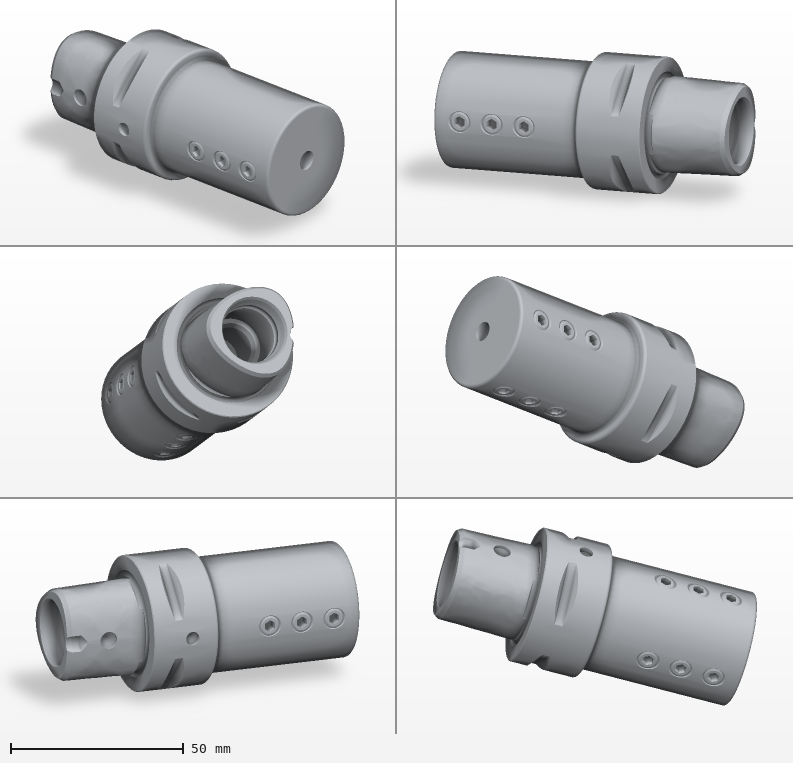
import cadquery as cq
import math


total_length = 89.0
flange_start = 24.0
flange_end = 44.05
flange_radius = 40.0 / 2
flange_front_chamfer = 0.3
flange_rear_fillet = 0.9
barrel_radius = 34.0 / 2
barrel_root_fillet = 0.9
barrel_end_fillet = 0.9

polygon_radius = 28.0 / 2
lobe_height = 0.9
taper_ratio = 1 / 20
taper_end = 22.3
tip_chamfer_length = 1.3
tip_chamfer_depth = 0.8
outline_points = 90

neck_radius = 14.1
neck_shoulder_start = 22.0
neck_start = 22.5
collar_length = 0.4
gutter_radius = 0.8
gutter_center_radius = neck_radius + gutter_radius

bore_mouth = [(0, 10.1), (1.0, 9.5), (3.1, 9.0), (4.2, 8.6), (5.6, 9.2), (6.6, 9.2), (7.4, 8.45)]
bore_floor = 20.0
thread_mouth_radius = 7.1
thread_radius = 6.2
thread_mouth_length = 1.5
thread_end = 33.8
coolant_mouth_radius = 3.5
coolant_radius = 2.9
drill_half_angle = 59

slot_x = 31.95
slot_floor_distance = 17.6
slot_floor_width = 2.3
slot_mouth_width = 5.5
slot_angles = (45, 135, 225, 315)

shank_hole_x = 12.55
shank_hole_radius = 2.6
shank_hole_depth = 1.1
flange_hole_x = 35.9
flange_hole_radius = 2.05
flange_hole_depth = 1.8
notch_radius = 2.6
notch_axis_distance = 13.35
notch_length = 4.1
notch_cone_half_angle = 45

screw_count_per_row = 3
screw_pitch = 10.0
last_screw_x = 81.0
screw_row_angles = (90, 180, 270)
screw_radius = 3.0
screw_chamfer_width = 0.6
screw_chamfer_height = 0.4
screw_length = 6.0
screw_top_distance = 16.8
screw_hex_width = 3.0
screw_hex_depth = 3.0
screw_hole_mouth_radius = 3.5


def turned(points):
    """Solid of revolution about X from a closed (x, radius) outline."""
    return cq.Workplane("XY").polyline(points).close().revolve(360, (0, 0, 0), (1, 0, 0))


def polygon_wire(x, mean_radius):
    """Trochoid outline at x, with one lobe towards +Y."""

    def point(turn):
        angle = 2 * math.pi * turn
        y = mean_radius * math.cos(angle) + lobe_height * math.cos(2 * angle)
        z = mean_radius * math.sin(angle) - lobe_height * math.sin(2 * angle)
        return (x, y, z)

    return cq.Workplane("XY").parametricCurve(point, N=outline_points).val()


def taper_radius(x):
    return polygon_radius - (flange_start - x) * taper_ratio / 2


def make_shank():
    tip = polygon_wire(0, taper_radius(0) - tip_chamfer_depth)
    shoulder = polygon_wire(tip_chamfer_length, taper_radius(tip_chamfer_length))
    base = polygon_wire(taper_end, taper_radius(taper_end))
    root = polygon_wire(flange_start, taper_radius(taper_end))
    tip_solid = cq.Solid.makeLoft([tip, shoulder], True)
    taper_solid = cq.Solid.makeLoft([shoulder, base], True)
    root_solid = cq.Solid.makeLoft([base, root], True)
    shank = cq.Workplane(tip_solid).union(cq.Workplane(taper_solid)).union(cq.Workplane(root_solid))
    overrun = 2
    shoulder_length = overrun * (neck_start - neck_shoulder_start)
    shoulder_rise = overrun * (polygon_radius + lobe_height - neck_radius)
    relief = turned(
        [
            (neck_start, neck_radius),
            (neck_start - shoulder_length, neck_radius + shoulder_rise),
            (flange_start, neck_radius + shoulder_rise),
            (flange_start, neck_radius),
        ]
    )
    return shank.cut(relief)


def make_flange_and_barrel():
    flange = (
        cq.Workplane("YZ", origin=(flange_start, 0, 0))
        .circle(flange_radius)
        .extrude(flange_end - flange_start)
        .faces("<X")
        .chamfer(flange_front_chamfer)
        .faces(">X")
        .edges()
        .fillet(flange_rear_fillet)
    )
    barrel = (
        cq.Workplane("YZ", origin=(flange_end, 0, 0))
        .circle(barrel_radius)
        .extrude(total_length - flange_end)
        .faces(">X")
        .edges()
        .fillet(barrel_end_fillet)
    )
    root_fillet = (
        cq.Workplane("XY")
        .moveTo(flange_end, barrel_radius - barrel_root_fillet)
        .lineTo(flange_end, barrel_radius + barrel_root_fillet)
        .radiusArc((flange_end + barrel_root_fillet, barrel_radius), -barrel_root_fillet)
        .lineTo(flange_end + barrel_root_fillet, barrel_radius - barrel_root_fillet)
        .close()
        .revolve(360, (0, 0, 0), (1, 0, 0))
    )
    collar = (
        cq.Workplane("YZ", origin=(flange_start - collar_length, 0, 0))
        .circle(neck_radius)
        .extrude(collar_length)
    )
    gutter = cq.Workplane(
        cq.Solid.makeTorus(
            gutter_center_radius, gutter_radius, cq.Vector(flange_start, 0, 0), cq.Vector(1, 0, 0)
        )
    )
    return flange.union(barrel).union(root_fillet).union(collar).cut(gutter)


def make_axial_bore():
    cone_length = (thread_radius - coolant_mouth_radius) / math.tan(math.radians(drill_half_angle))
    coolant_start = thread_end + cone_length
    coolant_chamfer = coolant_mouth_radius - coolant_radius
    return turned(
        [(0, 0)]
        + bore_mouth
        + [
            (bore_floor, bore_mouth[-1][1]),
            (bore_floor, thread_mouth_radius),
            (bore_floor + thread_mouth_length, thread_radius),
            (thread_end, thread_radius),
            (coolant_start, coolant_mouth_radius),
            (coolant_start + coolant_chamfer, coolant_radius),
            (total_length, coolant_radius),
            (total_length, 0),
        ]
    )


def make_gripper_slot(angle):
    """Trapezoidal slot, cut straight across the flange at the given angle about X."""
    depth = flange_radius - slot_floor_distance
    widening = (slot_mouth_width - slot_floor_width) / 2
    return (
        cq.Workplane("XZ")
        .polyline(
            [
                (slot_x - slot_floor_width / 2, slot_floor_distance),
                (slot_x - slot_floor_width / 2 - widening, slot_floor_distance + depth),
                (slot_x + slot_floor_width / 2 + widening, slot_floor_distance + depth),
                (slot_x + slot_floor_width / 2, slot_floor_distance),
            ]
        )
        .close()
        .extrude(flange_radius, both=True)
        .rotate((0, 0, 0), (1, 0, 0), angle)
    )


def make_drilling(start, direction, radius, straight_length, half_angle):
    """Drilled hole: a cylinder from start, ending in a cone."""
    cone_length = radius / math.tan(math.radians(half_angle))
    cylinder = cq.Solid.makeCylinder(radius, straight_length, start, direction)
    cone = cq.Solid.makeCone(radius, 0, cone_length, start + direction * straight_length, direction)
    return cq.Workplane(cylinder).union(cq.Workplane(cone))


def make_side_drilling(x, surface_distance, radius, depth):
    start_distance = flange_radius + radius
    return make_drilling(
        cq.Vector(x, -start_distance, 0),
        cq.Vector(0, 1, 0),
        radius,
        start_distance - surface_distance + depth,
        drill_half_angle,
    )


def place_around(shape, x, angle):
    """Turn a shape built along +Z about X, and move it to x."""
    return shape.rotate((0, 0, 0), (1, 0, 0), angle).translate((x, 0, 0))


def make_screw():
    """Set screw along +Z with a hexagon socket in its outer end."""
    hex_diameter = screw_hex_width / math.cos(math.pi / 6)
    return (
        cq.Workplane("XY", origin=(0, 0, screw_top_distance - screw_length))
        .circle(screw_radius)
        .extrude(screw_length)
        .faces(">Z")
        .chamfer(screw_chamfer_height, screw_chamfer_width)
        .faces(">Z")
        .workplane()
        .transformed(rotate=(0, 0, 90))
        .polygon(6, hex_diameter)
        .cutBlind(-screw_hex_depth)
    )


def make_screw_hole():
    """Blind hole that the screw fills, with a 45 degree countersink at the barrel surface."""
    hole_floor = screw_top_distance - screw_length
    countersink_depth = screw_hole_mouth_radius - screw_radius
    hole = cq.Solid.makeCylinder(screw_radius, barrel_radius - hole_floor, cq.Vector(0, 0, hole_floor))
    countersink = cq.Solid.makeCone(
        screw_radius,
        screw_hole_mouth_radius,
        countersink_depth,
        cq.Vector(0, 0, barrel_radius - countersink_depth),
    )
    return cq.Workplane(hole).union(cq.Workplane(countersink))


screw_places = [
    (last_screw_x - index * screw_pitch, angle)
    for angle in screw_row_angles
    for index in range(screw_count_per_row)
]


def make_holder():
    holder = make_flange_and_barrel().union(make_shank()).cut(make_axial_bore())
    for angle in slot_angles:
        holder = holder.cut(make_gripper_slot(angle))
    shank_surface = taper_radius(shank_hole_x) - lobe_height
    holder = holder.cut(make_side_drilling(shank_hole_x, shank_surface, shank_hole_radius, shank_hole_depth))
    holder = holder.cut(make_side_drilling(flange_hole_x, flange_radius, flange_hole_radius, flange_hole_depth))
    holder = holder.cut(
        make_drilling(
            cq.Vector(0, -notch_axis_distance, 0),
            cq.Vector(1, 0, 0),
            notch_radius,
            notch_length,
            notch_cone_half_angle,
        )
    )
    for x, angle in screw_places:
        holder = holder.cut(place_around(make_screw_hole(), x, angle))
    return holder


holder = make_holder()
screws = [place_around(make_screw(), x, angle).val() for x, angle in screw_places]

result = cq.Compound.makeCompound([holder.solids().val(), *screws])